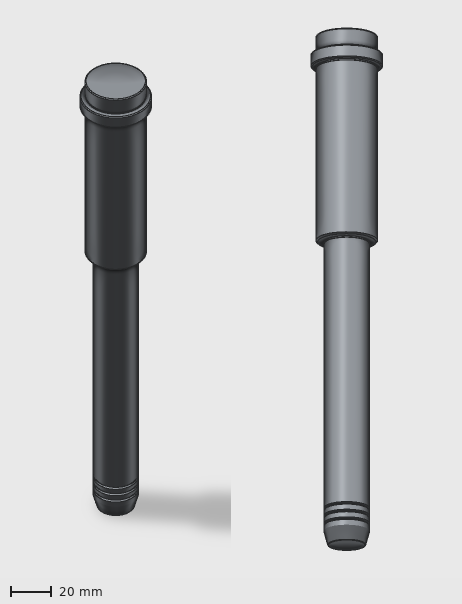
import cadquery as cq

length = 260.0
head_height = 9.0
flange_height = 6.5
sleeve_bottom = 155.0
flange_top = length - head_height
flange_bottom = flange_top - flange_height

flange_diameter = 35.0
sleeve_diameter = 30.2
shaft_diameter = 22.4
tip_diameter = 18.5

edge_break = 0.5
sleeve_chamfer = 0.8

relief_height = 0.8
relief_depth = 0.3

taper_height = 7.0
tip_chamfer = 0.3

groove_count = 3
groove_pitch = 4.0
groove_width = 1.3
groove_depth = 0.8
lowest_groove_bottom = 10.0


def disc(diameter, bottom, top):
    """Cylinder on the Z axis between two heights."""
    return cq.Workplane("XY").workplane(offset=bottom).circle(diameter / 2).extrude(top - bottom)


def relief(diameter, bottom):
    """Flat-bottomed ring of material to remove from a cylinder next to a shoulder."""
    top = bottom + relief_height
    return disc(diameter, bottom, top).cut(disc(diameter - 2 * relief_depth, bottom, top))


def ring_groove(bottom):
    """V-section ring of material to remove from the shaft surface."""
    radius = shaft_diameter / 2
    return (
        cq.Workplane("XZ")
        .moveTo(radius, bottom)
        .lineTo(radius - groove_depth, bottom + groove_width / 2)
        .lineTo(radius, bottom + groove_width)
        .close()
        .revolve(360, (0, 0), (0, 1))
    )


tip = (
    cq.Workplane("XY")
    .circle(tip_diameter / 2)
    .workplane(offset=taper_height)
    .circle(shaft_diameter / 2)
    .loft(ruled=True)
)
tip = tip.faces("<Z").edges().chamfer(tip_chamfer)
shaft = tip.union(disc(shaft_diameter, taper_height, sleeve_bottom))
for index in range(groove_count):
    shaft = shaft.cut(ring_groove(lowest_groove_bottom + index * groove_pitch))
shaft = shaft.cut(relief(shaft_diameter, sleeve_bottom - relief_height))

sleeve = disc(sleeve_diameter, sleeve_bottom, length)
sleeve = sleeve.faces("<Z").edges().chamfer(sleeve_chamfer)
sleeve = sleeve.faces(">Z").edges().chamfer(edge_break)
sleeve = sleeve.cut(relief(sleeve_diameter, flange_top))
sleeve = sleeve.cut(relief(sleeve_diameter, flange_bottom - relief_height))

flange = disc(flange_diameter, flange_bottom, flange_top)
flange = flange.faces("<Z or >Z").edges().chamfer(edge_break)

result = shaft.union(sleeve).union(flange)